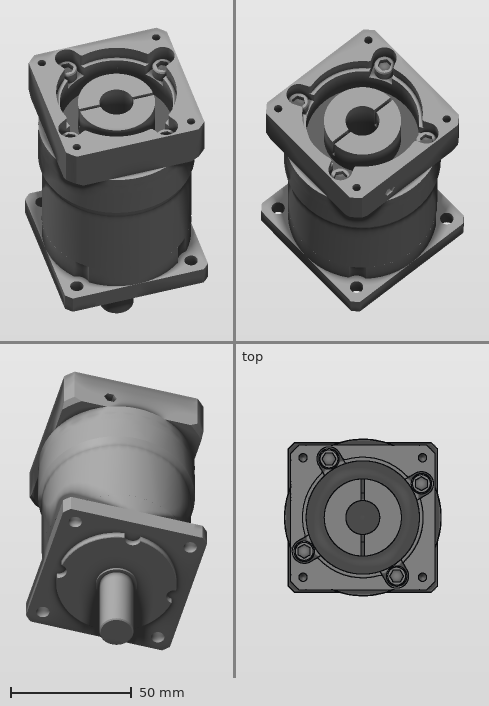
import cadquery as cq
import math

COLLAR_BOTTOM = 31.0
PILOT_BOTTOM = 32.0
FLANGE_BOTTOM = 35.0
FLANGE_TOP = 43.0
RING_TOP = 52.5
FLARE_BOTTOM = 85.5
FLARE_TOP = 89.5
TAPER_BOTTOM = 101.4
HEAD_TOP = 109.5
MOTOR_FLANGE_TOP = 128.0

SHAFT_DIAMETER = 14.1
SHAFT_CHAMFER = 0.5
COLLAR_DIAMETER = 17.2
PILOT_DIAMETER = 49.9
PILOT_CHAMFER = 0.3
PILOT_SCALLOP_DIAMETER = 6.9

FLANGE_SIDE = 62.0
FLANGE_TURNED_DIAMETER = 84.0
BOLT_CIRCLE_DIAMETER = 70.0
FLANGE_HOLE_DIAMETER = 5.5
FLANGE_SCALLOP_DIAMETER = 11.0
BODY_DIAMETER = FLANGE_SIDE
HEAD_DIAMETER = 65.0
HEAD_TOP_DIAMETER = 64.9

POCKET_DIAMETER = 47.0
POCKET_FLOOR = HEAD_TOP - 2.2
LEDGE_DIAMETER = 50.0
LEDGE_DEPTH = 6.0
LEDGE_HEIGHT = MOTOR_FLANGE_TOP - LEDGE_DEPTH

HUB_DIAMETER = 32.0
HUB_BORE_DIAMETER = SHAFT_DIAMETER
HUB_BORE_DEPTH = 25.0
HUB_SLOT_WIDTH = 1.4
HUB_SLOT_DEPTH = 10.2
SLEEVE_DIAMETER = 20.2
SLEEVE_SLOT_DEPTH = 12.8

MOTOR_FLANGE_SIDE = 59.9
MOTOR_FLANGE_TURNED_DIAMETER = 79.9
MOTOR_FLANGE_BEVEL = 1.9
MOTOR_HOLE_DIAMETER = 3.5
MOTOR_HOLE_DEPTH = 12.8
DRILL_POINT_ANGLE = 118.0

SCREW_CIRCLE_RADIUS = 28.0
SCREW_START_ANGLE = 30.0
SCREW_SLOT_WIDTH = 10.0
SCREW_SLOT_DEPTH = 11.0
SCREW_SLOT_MOUTH_RADIUS = 1.0
SCREW_HEAD_DIAMETER = 8.5
SCREW_HEAD_HEIGHT = 5.0
SCREW_HEAD_CHAMFER = 0.5
SCREW_SOCKET_FLATS = 5.0
SCREW_SOCKET_DEPTH = 2.5

PLUG_Y = 11.0
PLUG_Z = MOTOR_FLANGE_TOP - 12.0
PLUG_DIAMETER = 8.0
PLUG_LENGTH = 7.7
PLUG_SOCKET_FLATS = 4.7
PLUG_SOCKET_DEPTH = 3.8

QUARTER_TURNS = [0, 90, 180, 270]
CORNER_ANGLES = [45 + turn for turn in QUARTER_TURNS]
SCREW_ANGLES = [SCREW_START_ANGLE + turn for turn in QUARTER_TURNS]


def cylinder(diameter, bottom, top, x=0, y=0):
    """Upright cylinder between two heights."""
    return cq.Workplane("XY", origin=(x, y, bottom)).circle(diameter / 2).extrude(top - bottom)


def turned(outline):
    """Solid turned about the gearbox axis from (diameter, height) points, listed upward along its outside."""
    bottom = outline[0][1]
    top = outline[-1][1]
    profile = cq.Workplane("XZ").moveTo(0, bottom)
    for diameter, height in outline:
        profile = profile.lineTo(-diameter / 2, height)
    return profile.lineTo(0, top).close().revolve(360, (0, 0), (0, 1))


def polar(radius, angle):
    """X and Y of a point at a radius and an angle in degrees about the gearbox axis."""
    return radius * math.cos(math.radians(angle)), radius * math.sin(math.radians(angle))


def square_block(side, bottom, top):
    """Square block centred on the gearbox axis."""
    return cq.Workplane("XY", origin=(0, 0, bottom)).rect(side, side).extrude(top - bottom)


def across_corners(flats):
    """Corner-to-corner width of a hexagon from its width across flats."""
    return flats / math.cos(math.radians(30))



def make_shaft():
    """Output shaft with a chamfered tip, and the collar above it."""
    return turned([
        (SHAFT_DIAMETER - 2 * SHAFT_CHAMFER, 0),
        (SHAFT_DIAMETER, SHAFT_CHAMFER),
        (SHAFT_DIAMETER, COLLAR_BOTTOM),
        (COLLAR_DIAMETER, COLLAR_BOTTOM),
        (COLLAR_DIAMETER, PILOT_BOTTOM),
    ])


def make_pilot():
    """Round pilot below the flange, with a scallop on each side."""
    pilot = cylinder(PILOT_DIAMETER, PILOT_BOTTOM, FLANGE_BOTTOM).faces("<Z").chamfer(PILOT_CHAMFER)
    for angle in QUARTER_TURNS:
        x, y = polar(PILOT_DIAMETER / 2, angle)
        pilot = pilot.cut(cylinder(PILOT_SCALLOP_DIAMETER, PILOT_BOTTOM, FLANGE_BOTTOM, x, y))
    return pilot


def make_flange():
    """Square flange with turned corners and its bolt holes."""
    flange = square_block(FLANGE_SIDE, FLANGE_BOTTOM, FLANGE_TOP)
    flange = flange.intersect(cylinder(FLANGE_TURNED_DIAMETER, FLANGE_BOTTOM, FLANGE_TOP))
    for angle in CORNER_ANGLES:
        x, y = polar(BOLT_CIRCLE_DIAMETER / 2, angle)
        flange = flange.cut(cylinder(FLANGE_HOLE_DIAMETER, FLANGE_BOTTOM, FLANGE_TOP, x, y))
    return flange


def make_ring():
    """Ring above the flange, scalloped to clear the flange bolts."""
    ring = cylinder(BODY_DIAMETER, FLANGE_TOP, RING_TOP)
    for angle in CORNER_ANGLES:
        x, y = polar(BOLT_CIRCLE_DIAMETER / 2, angle)
        ring = ring.cut(cylinder(FLANGE_SCALLOP_DIAMETER, FLANGE_TOP, RING_TOP, x, y))
    return ring


def make_output_end():
    return make_shaft().union(make_pilot()).union(make_flange()).union(make_ring())



def make_round_body():
    """Round body that flares out to the slightly tapered head."""
    return turned([
        (BODY_DIAMETER, RING_TOP),
        (BODY_DIAMETER, FLARE_BOTTOM),
        (HEAD_DIAMETER, FLARE_TOP),
        (HEAD_DIAMETER, TAPER_BOTTOM),
        (HEAD_TOP_DIAMETER, HEAD_TOP),
    ])


def make_hub_slot(length, depth):
    """Slot along Y, cut down from the top of the hub."""
    return cq.Workplane("XY", origin=(0, 0, LEDGE_HEIGHT)).rect(HUB_SLOT_WIDTH, length).extrude(-depth)


def make_sleeve_slot():
    """Deeper part of the hub slot, bounded by the sleeve's round outside."""
    sleeve = cylinder(SLEEVE_DIAMETER, LEDGE_HEIGHT - SLEEVE_SLOT_DEPTH, LEDGE_HEIGHT)
    return make_hub_slot(SLEEVE_DIAMETER, SLEEVE_SLOT_DEPTH).intersect(sleeve)


def make_hub():
    """Plain clamping hub, standing on the pocket floor."""
    return turned([(HUB_DIAMETER, POCKET_FLOOR), (HUB_DIAMETER, LEDGE_HEIGHT)])


def make_motor_flange():
    """Square flange with turned corners, beveled at their lower edge."""
    corner_limit = cylinder(MOTOR_FLANGE_TURNED_DIAMETER, HEAD_TOP, MOTOR_FLANGE_TOP)
    corner_limit = corner_limit.faces("<Z").chamfer(MOTOR_FLANGE_BEVEL)
    return square_block(MOTOR_FLANGE_SIDE, HEAD_TOP, MOTOR_FLANGE_TOP).intersect(corner_limit)


def make_motor_hole(angle):
    """Blind hole with a drill point, down from the top of the motor flange."""
    x, y = polar(BOLT_CIRCLE_DIAMETER / 2, angle)
    radius = MOTOR_HOLE_DIAMETER / 2
    point_depth = MOTOR_HOLE_DEPTH + radius / math.tan(math.radians(DRILL_POINT_ANGLE / 2))
    return (
        cq.Workplane("XZ", origin=(x, y, MOTOR_FLANGE_TOP))
        .lineTo(radius, 0)
        .lineTo(radius, -MOTOR_HOLE_DEPTH)
        .lineTo(0, -point_depth)
        .close()
        .revolve(360, (0, 0), (0, 1))
    )


def make_screw_slot(angle, depth):
    """Round-ended slot from the pocket out around one cap screw."""
    floor = MOTOR_FLANGE_TOP - depth
    straight = (
        cq.Workplane("XY", origin=(0, 0, floor))
        .center(SCREW_CIRCLE_RADIUS / 2, 0)
        .rect(SCREW_CIRCLE_RADIUS, SCREW_SLOT_WIDTH)
        .extrude(depth)
    )
    slot = straight.union(cylinder(SCREW_SLOT_WIDTH, floor, MOTOR_FLANGE_TOP, SCREW_CIRCLE_RADIUS))
    return slot.rotate((0, 0, 0), (0, 0, 1), angle)


def make_ledge_recess():
    """Recess down to the ledge, with the mouths of the screw slots rounded into its wall."""
    recess = cylinder(LEDGE_DIAMETER, LEDGE_HEIGHT, MOTOR_FLANGE_TOP)
    for angle in SCREW_ANGLES:
        recess = recess.union(make_screw_slot(angle, LEDGE_DEPTH))
    on_ledge_wall = cq.selectors.BoxSelector(
        (-LEDGE_DIAMETER / 2, -LEDGE_DIAMETER / 2, LEDGE_HEIGHT),
        (LEDGE_DIAMETER / 2, LEDGE_DIAMETER / 2, MOTOR_FLANGE_TOP),
    )
    return recess.edges("|Z").edges(on_ledge_wall).fillet(SCREW_SLOT_MOUTH_RADIUS)


def make_screw_head(angle):
    """Cap screw head with a hexagon socket, standing on the floor of its slot."""
    x, y = polar(SCREW_CIRCLE_RADIUS, angle)
    floor = MOTOR_FLANGE_TOP - SCREW_SLOT_DEPTH
    head = cylinder(SCREW_HEAD_DIAMETER, floor, floor + SCREW_HEAD_HEIGHT, x, y)
    head = head.faces(">Z").chamfer(SCREW_HEAD_CHAMFER)
    socket = (
        cq.Workplane("XY")
        .polygon(6, across_corners(SCREW_SOCKET_FLATS))
        .extrude(-SCREW_SOCKET_DEPTH)
        .rotate((0, 0, 0), (0, 0, 1), angle)
        .translate((x, y, floor + SCREW_HEAD_HEIGHT))
    )
    return head.cut(socket)


def make_plug_blank():
    """Plain cylinder that fills the plug's seat."""
    seat = cq.Workplane("YZ", origin=(-MOTOR_FLANGE_SIDE / 2, PLUG_Y, PLUG_Z))
    return seat.circle(PLUG_DIAMETER / 2).extrude(PLUG_LENGTH)


def make_housing():
    housing = make_round_body().union(make_motor_flange())
    housing = housing.cut(cylinder(POCKET_DIAMETER, POCKET_FLOOR, MOTOR_FLANGE_TOP)).cut(make_ledge_recess())
    for angle in CORNER_ANGLES:
        housing = housing.cut(make_motor_hole(angle))
    for angle in SCREW_ANGLES:
        housing = housing.cut(make_screw_slot(angle, SCREW_SLOT_DEPTH)).union(make_screw_head(angle))
    bore = cylinder(HUB_BORE_DIAMETER, LEDGE_HEIGHT - HUB_BORE_DEPTH, LEDGE_HEIGHT)
    housing = housing.union(make_hub()).cut(bore)
    housing = housing.cut(make_hub_slot(HUB_DIAMETER, HUB_SLOT_DEPTH)).cut(make_sleeve_slot())
    return housing.cut(make_plug_blank())



def make_plug():
    socket = (
        cq.Workplane("YZ", origin=(-MOTOR_FLANGE_SIDE / 2, PLUG_Y, PLUG_Z))
        .polygon(6, across_corners(PLUG_SOCKET_FLATS))
        .extrude(PLUG_SOCKET_DEPTH)
    )
    return make_plug_blank().cut(socket)


output_end = make_output_end()
housing = make_housing()
plug = make_plug()

result = cq.Compound.makeCompound([output_end.val(), housing.val(), plug.val()])